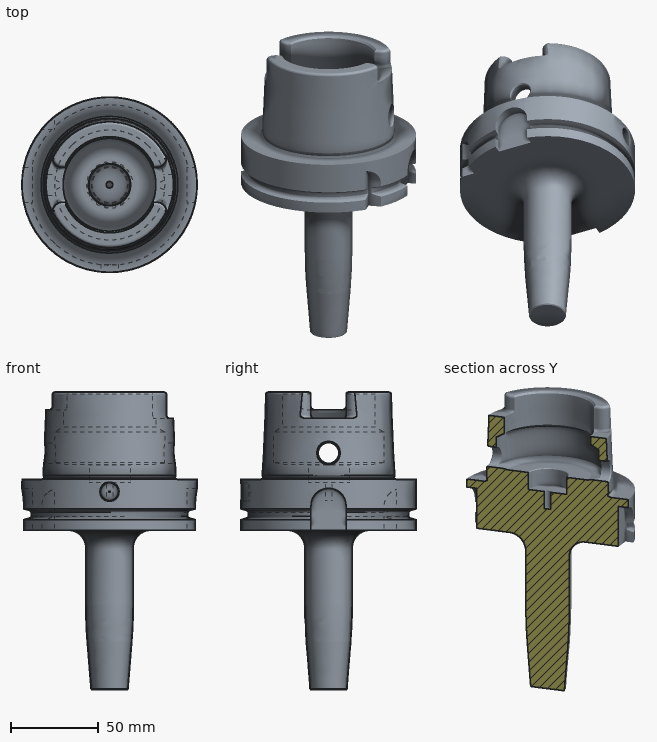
import cadquery as cq
import math

TOTAL_LENGTH = 169.9
SHANK_LENGTH = 50.0
FLANGE_WIDTH = 29.0
flange_top = TOTAL_LENGTH - SHANK_LENGTH
flange_bottom = flange_top - FLANGE_WIDTH

FLANGE_DIAMETER = 100.0
FLANGE_RADIUS = FLANGE_DIAMETER / 2
GROOVE_RADIUS = 45.9
GROOVE_CENTRE_ABOVE_BOTTOM = 9.2
GROOVE_MOUTH = 6.3
GROOVE_FLOOR = 3.7
GROOVE_FILLET = 0.8
groove_centre = flange_bottom + GROOVE_CENTRE_ABOVE_BOTTOM

SHANK_BASE_RADIUS = 37.9
SHANK_TOP_RADIUS = 35.8
UNDERCUT_RADIUS = 37.4
UNDERCUT_HEIGHT = 2.5
UNDERCUT_COLLAR_RADIUS = 39
UNDERCUT_COLLAR_HEIGHT = 0.7
SHANK_RIM_FILLET = 1.7

BORE_RADIUS = 26.5
BORE_DEPTH = 19.9
CLAMP_SHOULDER_ANGLE = math.radians(30)
POCKET_RADIUS = 31.5
FLOOR_CONE_HEIGHT = 1.2
POCKET_DEPTH = 41.3
BORE_RIM_CHAMFER = 1.0
FLOOR_RADIUS = 24.8
SOCKET_RADIUS = 12.0
SOCKET_CHAMFER = 0.3
SOCKET_DEPTH = 10.2
COOLANT_RADIUS = 1.9
COOLANT_DEPTH = 10.2

NECK_RADIUS = 13.6
NECK_FILLET = 9.7
TIP_RADIUS = 10.5
TIP_CHAMFER = 0.5
NOSE_ANGLE = math.radians(4.6)
NOSE_BLEND_START = 27.5

KEY_WIDTH = 20.0
LEFT_SLOT_DEPTH = 10.0
RIGHT_SLOT_DEPTH = 15.0
SLOT_FLARE = 5.6
SLOT_FLARE_REACH = 32.6
SLOT_FLOOR_FILLET = 1.7

KEYWAY_FLOOR = 44.0
KEYWAY_TOP_BELOW_FLANGE = 5.1
NOTCH_FLOOR = 31.6

CROSS_HOLE_RADIUS = 6.0
CROSS_HOLE_RIM_CHAMFER = 0.7
CROSS_HOLE_BELOW_RIM = 34.8
DATA_HOLE_RADIUS = 5.1
DATA_HOLE_CHAMFER = 0.3
DATA_HOLE_BELOW_FLANGE = 7.0
DATA_HOLE_DEPTH = 4.6
DATA_HOLE_PILOT_RADIUS = 0.3
DATA_HOLE_PILOT_DEPTH = 0.8

EDGE_MARGIN = 0.2


def outer_body():
    """Revolved nose, flange and solid shank."""
    taper = math.tan(NOSE_ANGLE)
    blend_start_radius = TIP_RADIUS + NOSE_BLEND_START * taper
    cone_meets_neck = (NECK_RADIUS - TIP_RADIUS) / taper
    blend_end = cone_meets_neck + (cone_meets_neck - NOSE_BLEND_START) / math.cos(NOSE_ANGLE)
    fillet_reach = NECK_FILLET * (1 - math.sqrt(0.5))
    profile = (
        cq.Workplane("XZ")
        .lineTo(TIP_RADIUS - TIP_CHAMFER, 0)
        .lineTo(TIP_RADIUS + TIP_CHAMFER * taper, TIP_CHAMFER)
        .lineTo(blend_start_radius, NOSE_BLEND_START)
        .tangentArcPoint((NECK_RADIUS, blend_end), relative=False)
        .lineTo(NECK_RADIUS, flange_bottom - NECK_FILLET)
        .threePointArc(
            (NECK_RADIUS + fillet_reach, flange_bottom - fillet_reach),
            (NECK_RADIUS + NECK_FILLET, flange_bottom),
        )
        .lineTo(FLANGE_RADIUS, flange_bottom)
        .lineTo(FLANGE_RADIUS, flange_top)
        .lineTo(UNDERCUT_COLLAR_RADIUS, flange_top)
        .lineTo(UNDERCUT_RADIUS, flange_top + UNDERCUT_COLLAR_HEIGHT)
        .lineTo(SHANK_BASE_RADIUS, flange_top + UNDERCUT_HEIGHT)
        .lineTo(SHANK_TOP_RADIUS, TOTAL_LENGTH)
        .lineTo(0, TOTAL_LENGTH)
        .close()
    )
    return profile.revolve(360, (0, 0, 0), (0, 1, 0))


def groove_cutter():
    """Ring that cuts the flared gripper groove."""
    ring = (
        cq.Workplane("XZ")
        .moveTo(GROOVE_RADIUS, groove_centre - GROOVE_FLOOR / 2)
        .lineTo(GROOVE_RADIUS, groove_centre + GROOVE_FLOOR / 2)
        .lineTo(FLANGE_RADIUS, groove_centre + GROOVE_MOUTH / 2)
        .lineTo(FLANGE_RADIUS, groove_centre - GROOVE_MOUTH / 2)
        .close()
        .revolve(360, (0, 0, 0), (0, 1, 0))
    )
    return ring.edges(cq.selectors.RadiusNthSelector(0)).fillet(GROOVE_FILLET)


def slot_cutter(side, depth):
    """Drive slot that flares around the horn corners and widens softly at the rim.

    The slot opens along +X or -X for a side of +1 or -1. It is what is left of a block
    after taking away the two rounded masses that stand for the horns.
    """
    half = KEY_WIDTH / 2
    flare_start = side * (SLOT_FLARE_REACH - SLOT_FLARE)
    flare_end = side * SLOT_FLARE_REACH
    flare_half = half + SLOT_FLARE
    bend = SLOT_FLARE * math.sqrt(0.5)
    outside = side * FLANGE_RADIUS
    straight_slot = (
        cq.Workplane("XY")
        .workplane(offset=TOTAL_LENGTH - depth)
        .moveTo(0, half)
        .lineTo(flare_start, half)
        .threePointArc((flare_start + side * bend, flare_half - bend), (flare_end, flare_half))
        .lineTo(flare_end, FLANGE_RADIUS)
        .lineTo(outside, FLANGE_RADIUS)
        .lineTo(outside, 0)
        .lineTo(0, 0)
        .close()
        .extrude(depth)
    )
    straight_slot = straight_slot.union(straight_slot.mirror("XZ"))
    straight_slot = straight_slot.faces("<Z").edges().fillet(SLOT_FLOOR_FILLET)
    block = (
        cq.Workplane("XY")
        .workplane(offset=TOTAL_LENGTH - depth)
        .center(outside / 2, 0)
        .rect(FLANGE_RADIUS, 2 * FLANGE_RADIUS)
        .extrude(depth)
    )
    horns = block.cut(straight_slot)
    slot_rim = cq.selectors.BoxSelector(
        (side * EDGE_MARGIN, -FLANGE_RADIUS + EDGE_MARGIN, TOTAL_LENGTH - EDGE_MARGIN),
        (outside, FLANGE_RADIUS - EDGE_MARGIN, TOTAL_LENGTH + EDGE_MARGIN),
    )
    horns = horns.edges(slot_rim).fillet(SHANK_RIM_FILLET)
    return block.cut(horns)


def shank_cavity():
    """Revolved bore, wider clamping pocket and stepped central socket."""
    floor = TOTAL_LENGTH - POCKET_DEPTH
    socket_floor = floor - SOCKET_DEPTH
    shoulder_height = (POCKET_RADIUS - BORE_RADIUS) * math.tan(CLAMP_SHOULDER_ANGLE)
    bore_end = TOTAL_LENGTH - BORE_DEPTH
    profile = (
        cq.Workplane("XZ")
        .moveTo(0, TOTAL_LENGTH)
        .lineTo(BORE_RADIUS + BORE_RIM_CHAMFER, TOTAL_LENGTH)
        .lineTo(BORE_RADIUS, TOTAL_LENGTH - BORE_RIM_CHAMFER)
        .lineTo(BORE_RADIUS, bore_end)
        .lineTo(POCKET_RADIUS, bore_end - shoulder_height)
        .lineTo(POCKET_RADIUS, floor + FLOOR_CONE_HEIGHT)
        .lineTo(FLOOR_RADIUS, floor)
        .lineTo(SOCKET_RADIUS, floor)
        .lineTo(SOCKET_RADIUS - SOCKET_CHAMFER, floor - SOCKET_CHAMFER)
        .lineTo(SOCKET_RADIUS - SOCKET_CHAMFER, socket_floor)
        .lineTo(COOLANT_RADIUS, socket_floor)
        .lineTo(COOLANT_RADIUS, socket_floor - COOLANT_DEPTH)
        .lineTo(0, socket_floor - COOLANT_DEPTH)
        .close()
    )
    return profile.revolve(360, (0, 0, 0), (0, 1, 0))


def keyway_cutter(floor_distance, centre_y):
    """Round-topped key slot open towards -X and at the flange bottom.

    Its flat floor lies at the given distance from the axis.
    """
    arc_centre = flange_top - KEYWAY_TOP_BELOW_FLANGE - KEY_WIDTH / 2
    half = KEY_WIDTH / 2
    return (
        cq.Workplane("YZ")
        .workplane(offset=-FLANGE_RADIUS)
        .moveTo(centre_y - half, flange_bottom)
        .lineTo(centre_y - half, arc_centre)
        .threePointArc((centre_y, arc_centre + half), (centre_y + half, arc_centre))
        .lineTo(centre_y + half, flange_bottom)
        .close()
        .extrude(FLANGE_RADIUS - floor_distance)
    )


body = outer_body().faces(">Z").edges().fillet(SHANK_RIM_FILLET)
body = body.cut(groove_cutter()).cut(shank_cavity())
for side, depth in ((-1, LEFT_SLOT_DEPTH), (1, RIGHT_SLOT_DEPTH)):
    body = body.cut(slot_cutter(side, depth))

keyway = keyway_cutter(KEYWAY_FLOOR, 0)
notch = keyway_cutter(NOTCH_FLOOR, NOTCH_FLOOR + KEY_WIDTH / 2)
body = body.cut(keyway).cut(keyway.mirror("YZ")).cut(notch)

cross_hole_height = TOTAL_LENGTH - CROSS_HOLE_BELOW_RIM
cross_hole = (
    cq.Workplane("YZ")
    .center(0, cross_hole_height)
    .circle(CROSS_HOLE_RADIUS)
    .extrude(FLANGE_RADIUS, both=True)
)
body = body.cut(cross_hole)
for side in (-1, 1):
    hole_rim = cq.selectors.NearestToPointSelector((side * SHANK_BASE_RADIUS, 0, cross_hole_height))
    body = body.edges(hole_rim).chamfer(CROSS_HOLE_RIM_CHAMFER)

data_hole_height = flange_top - DATA_HOLE_BELOW_FLANGE
data_hole = (
    cq.Workplane("XZ", origin=(0, -FLANGE_RADIUS, data_hole_height))
    .circle(DATA_HOLE_RADIUS)
    .extrude(-DATA_HOLE_DEPTH)
    .faces(">Y")
    .workplane()
    .circle(DATA_HOLE_PILOT_RADIUS)
    .extrude(DATA_HOLE_PILOT_DEPTH)
)
body = body.cut(data_hole)
data_hole_rim = cq.selectors.NearestToPointSelector((0, -FLANGE_RADIUS, data_hole_height))
body = body.edges(data_hole_rim).chamfer(DATA_HOLE_CHAMFER)

result = body